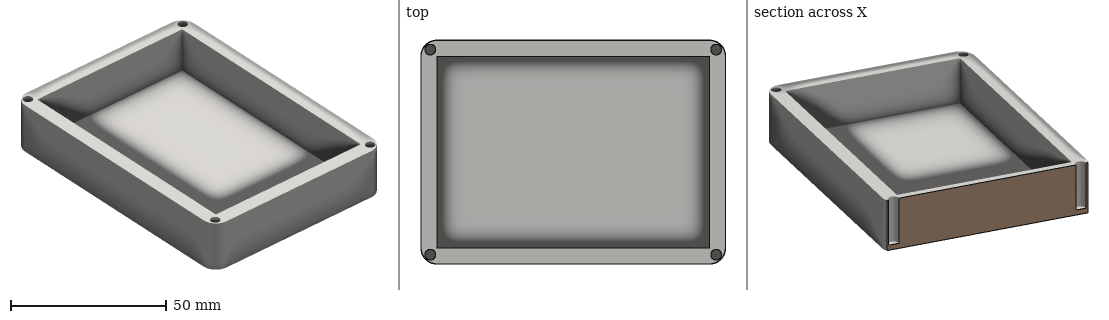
import cadquery as cq

length = 98.3
width = 72.2
height = 18.0

wall = 5.2
floor_thickness = 2.0
corner_radius = wall

hole_diameter = 3.4
hole_inset = 3.0
hole_depth = height - floor_thickness


def make_block():
    block = cq.Workplane("XY").box(length, width, height, centered=(True, True, False))
    return block.edges("|Z").fillet(corner_radius)


def cut_pocket(body):
    pocket = (
        cq.Workplane("XY", origin=(0, 0, floor_thickness))
        .rect(length - 2 * wall, width - 2 * wall)
        .extrude(height - floor_thickness)
    )
    return body.cut(pocket)


def cut_screw_holes(body):
    holes = (
        cq.Workplane("XY", origin=(0, 0, height))
        .rect(length - 2 * hole_inset, width - 2 * hole_inset, forConstruction=True)
        .vertices()
        .circle(hole_diameter / 2)
        .extrude(-hole_depth)
    )
    return body.cut(holes)


result = cut_screw_holes(cut_pocket(make_block()))